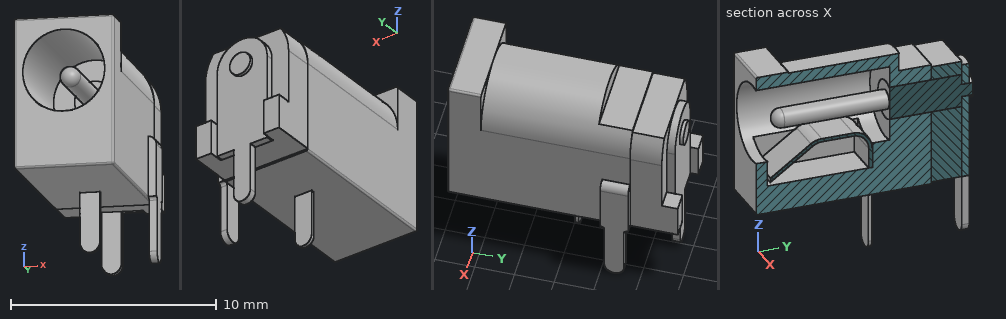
import cadquery as cq
import math


width = 5.0
half_width = width / 2
height = 7.5
housing_length = 9.2
flange_length = 1.69
edge_radius = 0.1

barrel_radius = half_width
barrel_axis_z = height - barrel_radius
step_start_y = 7.5
step_top_z = 6.51

socket_axis_z = 4.8
socket_diameter = 4.1
socket_depth = 7.0

slot_start_y = 0.6
slot_floor_z = 1.5

cover_end_y = 10.8
cover_bottom_z = edge_radius
cover_top_z = 6.4
cover_barrel_axis_z = 4.94
ear_end_y = 11.6
ear_width = 0.93
ear_top_z = 2.0

pin_diameter = 1.0
pin_tip_y = 1.0
shank_diameter = 2.0
rivet_diameter = 1.23
rivet_end_y = 11.39

tail_width = 1.0
tail_drop = 3.0

rear_terminal_width = 3.0
rear_terminal_thickness = 0.41

side_terminal_width = 1.4
side_terminal_thickness = 0.41
side_terminal_rear_y = housing_length
side_terminal_top_z = 3.1
side_terminal_shoulder_z = edge_radius
side_terminal_drop = 3.1
side_terminal_top_radius = 0.4
side_terminal_inner_radius = 0.15

spring_width = 2.75
spring_thickness = 0.2
spring_slope = math.radians(35)
ramp_bend_y = 3.45
spring_top_z = 3.55
bend_radius = 1.0
spring_front_y = 0.75
leg_front_y = 5.9
leg_rear_y = leg_front_y + spring_thickness


def block(x_range, y_range, z_range):
    """Box between the given limits along each axis."""
    spans = [high - low for low, high in (x_range, y_range, z_range)]
    corner = (x_range[0], y_range[0], z_range[0])
    return cq.Workplane("XY").box(*spans, centered=False).translate(corner)


def centred(size):
    """Limits of a span centred on zero."""
    return (-size / 2, size / 2)


def cylinder_y(diameter, y_start, y_end):
    """Cylinder on the socket axis."""
    plane = cq.Workplane("XZ", origin=(0, y_start, socket_axis_z))
    return plane.circle(diameter / 2).extrude(y_start - y_end)


def arched_block(y_start, y_end, bottom_z, axis_z):
    """Block as wide as the jack, with a half-round top about axis_z."""
    return (
        cq.Workplane("XZ", origin=(0, y_start, 0))
        .moveTo(-half_width, bottom_z)
        .lineTo(half_width, bottom_z)
        .lineTo(half_width, axis_z)
        .threePointArc((0, axis_z + barrel_radius), (-half_width, axis_z))
        .close()
        .extrude(y_start - y_end)
    )


def tail(plane, centre, top_z, drop, thickness):
    """Round-ended tail hanging from top_z, drawn on a vertical plane and extruded from it."""
    radius = tail_width / 2
    return (
        plane.moveTo(centre - radius, top_z)
        .lineTo(centre - radius, radius - drop)
        .threePointArc((centre, -drop), (centre + radius, radius - drop))
        .lineTo(centre + radius, top_z)
        .close()
        .extrude(thickness)
    )


def make_pin():
    """Round-nosed pin on a thicker shank, ending in a rivet."""
    nose_radius = pin_diameter / 2
    nose_centre_y = pin_tip_y + nose_radius
    ball = cq.Workplane("XY").sphere(nose_radius).translate((0, nose_centre_y, socket_axis_z))
    nose = cylinder_y(pin_diameter, nose_centre_y, socket_depth).union(ball)
    shank = cylinder_y(shank_diameter, socket_depth, cover_end_y)
    rivet = cylinder_y(rivet_diameter, cover_end_y, rivet_end_y)
    return nose.union(shank).union(rivet)


def make_rear_terminal():
    """Round-topped plate riveted to the back of the cover."""
    radius = rear_terminal_width / 2
    rear_y = cover_end_y + rear_terminal_thickness
    plane = cq.Workplane("XZ", origin=(0, rear_y, 0))
    plate = (
        plane.moveTo(-radius, cover_bottom_z)
        .lineTo(radius, cover_bottom_z)
        .lineTo(radius, socket_axis_z)
        .threePointArc((0, socket_axis_z + radius), (-radius, socket_axis_z))
        .close()
        .extrude(rear_terminal_thickness)
    )
    lower_tail = tail(plane, 0, cover_bottom_z, tail_drop, rear_terminal_thickness)
    rivet_hole = cylinder_y(rivet_diameter, cover_end_y, rear_y)
    return plate.union(lower_tail).cut(rivet_hole)


def make_side_terminal():
    """Plate lying against the +X side of the housing, rounded over at its top."""
    front_y = side_terminal_rear_y - side_terminal_width
    centre_y = side_terminal_rear_y - side_terminal_width / 2
    plate = block(
        (half_width, half_width + side_terminal_thickness),
        (front_y, side_terminal_rear_y),
        (side_terminal_shoulder_z, side_terminal_top_z),
    )
    plate = plate.edges(">X and >Z").fillet(side_terminal_top_radius)
    plane = cq.Workplane("YZ", origin=(half_width, 0, 0))
    lower_tail = tail(
        plane, centre_y, side_terminal_shoulder_z, side_terminal_drop, side_terminal_thickness
    )
    terminal = plate.union(lower_tail)

    for side in (-1, 1):
        corner = cq.NearestToPointSelector(
            (
                half_width + side_terminal_thickness / 2,
                centre_y + side * tail_width / 2,
                side_terminal_shoulder_z,
            )
        )
        terminal = terminal.edges("|X").edges(corner).fillet(side_terminal_inner_radius)
    return terminal


def make_spring():
    """Strip ramping up from the front, level at the top, then bent down into a leg."""
    bend_axis_z = spring_top_z - bend_radius
    leg_bend_y = leg_rear_y - bend_radius
    inner_radius = bend_radius - spring_thickness

    def bend_point(axis_y, radius, tilt):
        """Point of a bend, at an angle from straight up toward the back."""
        return (axis_y + radius * math.sin(tilt), bend_axis_z + radius * math.cos(tilt))

    def ramp_front(radius):
        """Front end of the ramp face tangent to the ramp bend at this radius."""
        y, z = bend_point(ramp_bend_y, radius, -spring_slope)
        return (spring_front_y, z - (y - spring_front_y) * math.tan(spring_slope))

    half_ramp_turn = spring_slope / 2
    quarter_turn = math.pi / 2
    strip = (
        cq.Workplane("YZ")
        .moveTo(*ramp_front(bend_radius))
        .lineTo(*bend_point(ramp_bend_y, bend_radius, -spring_slope))
        .threePointArc(
            bend_point(ramp_bend_y, bend_radius, -half_ramp_turn),
            bend_point(ramp_bend_y, bend_radius, 0),
        )
        .lineTo(*bend_point(leg_bend_y, bend_radius, 0))
        .threePointArc(
            bend_point(leg_bend_y, bend_radius, quarter_turn / 2),
            bend_point(leg_bend_y, bend_radius, quarter_turn),
        )
        .lineTo(leg_rear_y, slot_floor_z)
        .lineTo(leg_front_y, slot_floor_z)
        .lineTo(*bend_point(leg_bend_y, inner_radius, quarter_turn))
        .threePointArc(
            bend_point(leg_bend_y, inner_radius, quarter_turn / 2),
            bend_point(leg_bend_y, inner_radius, 0),
        )
        .lineTo(*bend_point(ramp_bend_y, inner_radius, 0))
        .threePointArc(
            bend_point(ramp_bend_y, inner_radius, -half_ramp_turn),
            bend_point(ramp_bend_y, inner_radius, -spring_slope),
        )
        .lineTo(*ramp_front(inner_radius))
        .close()
        .extrude(spring_width / 2, both=True)
    )
    plane = cq.Workplane("XZ", origin=(0, leg_rear_y, 0))
    return strip.union(tail(plane, 0, slot_floor_z, tail_drop, spring_thickness))


def make_housing(pin, spring):
    """Square-fronted housing with an arched barrel, a socket and a spring slot."""
    body = block(centred(width), (0, housing_length), (0, height))
    body = body.edges("<Y or (|Y and (<Z or >Z))").fillet(edge_radius)

    flange = block(centred(width), (0, flange_length), (0, height))
    barrel = arched_block(flange_length, housing_length, 0, barrel_axis_z)
    body = body.intersect(flange.union(barrel))
    body = body.cut(block(centred(width), (step_start_y, housing_length), (step_top_z, height)))

    socket = cylinder_y(socket_diameter, 0, socket_depth)
    slot = block(
        centred(spring_width), (slot_start_y, leg_rear_y), (slot_floor_z, socket_axis_z)
    )
    return body.cut(socket).cut(slot).cut(pin).cut(spring)


def make_rear_cover(pin):
    """Arched, flat-topped cover behind the housing, with two ears at its foot."""
    cover = arched_block(housing_length, cover_end_y, cover_bottom_z, cover_barrel_axis_z)
    cover = cover.cut(block(centred(width), (housing_length, cover_end_y), (cover_top_z, height)))
    for x_start in (-half_width, half_width - ear_width):
        ear = block(
            (x_start, x_start + ear_width), (cover_end_y, ear_end_y), (cover_bottom_z, ear_top_z)
        )
        cover = cover.union(ear)
    return cover.cut(pin)


center_pin = make_pin()
contact_spring = make_spring()
housing = make_housing(center_pin, contact_spring)
rear_cover = make_rear_cover(center_pin)
rear_terminal = make_rear_terminal()
side_terminal = make_side_terminal()

result = cq.Compound.makeCompound(
    [
        housing.val(),
        rear_cover.val(),
        center_pin.val(),
        rear_terminal.val(),
        side_terminal.val(),
        contact_spring.val(),
    ]
)